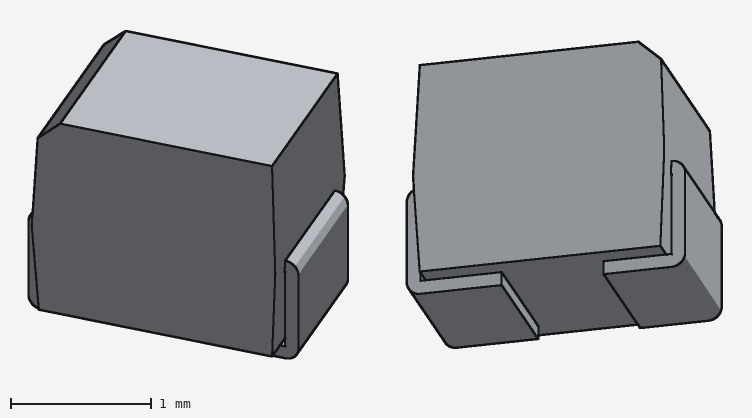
import cadquery as cq

overall_length = 2.05
overall_height = 1.7

lead_thickness = 0.1
lead_width = 1.0
lead_height = 0.82
marked_foot_length = 0.6
plain_foot_length = 0.7

housing_length = overall_length - 2 * lead_thickness
housing_width = 1.4
end_inset = 0.039
side_inset = 0.039
band_height = 0.012
band_bottom = lead_height
band_top = band_bottom + band_height
housing_bottom = lead_thickness
chamfer_run = 0.162
chamfer_drop = 0.15


def tapered_half(start_z, end_z):
    """Frustum from the full housing outline to the inset outline."""
    return (
        cq.Workplane("XY")
        .workplane(offset=start_z)
        .rect(housing_length, housing_width)
        .workplane(offset=end_z - start_z)
        .rect(housing_length - 2 * end_inset, housing_width - 2 * side_inset)
        .loft(ruled=True)
    )


def polarity_chamfer():
    """Wedge that cuts the upper edge at the -X end and marks the polarity."""
    top_edge_x = -housing_length / 2 + end_inset
    outer_x = -overall_length / 2
    cut_x = top_edge_x + chamfer_run
    wedge_depth = (cut_x - outer_x) * chamfer_drop / chamfer_run
    return (
        cq.Workplane("XZ")
        .moveTo(cut_x, overall_height)
        .lineTo(outer_x, overall_height)
        .lineTo(outer_x, overall_height - wedge_depth)
        .close()
        .extrude(housing_width / 2, both=True)
    )


def make_housing():
    band = (
        cq.Workplane("XY")
        .workplane(offset=band_bottom)
        .rect(housing_length, housing_width)
        .extrude(band_height)
    )
    lower_half = tapered_half(band_bottom, housing_bottom)
    upper_half = tapered_half(band_top, overall_height)
    return lower_half.union(band).union(upper_half).cut(polarity_chamfer())


def make_lead(side, foot_length):
    """C-shaped lead on the -X (side = -1) or +X (side = 1) end of the housing."""
    outer_x = side * overall_length / 2
    inner_x = side * housing_length / 2
    foot_end_x = outer_x - side * foot_length
    tab_bottom = lead_height - lead_thickness
    tab_taper = end_inset * lead_thickness / (band_bottom - housing_bottom)
    tab_end_x = inner_x - side * tab_taper
    return (
        cq.Workplane("XZ")
        .moveTo(foot_end_x, 0)
        .lineTo(inner_x, 0)
        .radiusArc((outer_x, lead_thickness), side * -lead_thickness)
        .lineTo(outer_x, tab_bottom)
        .radiusArc((inner_x, lead_height), side * -lead_thickness)
        .lineTo(tab_end_x, tab_bottom)
        .lineTo(inner_x, tab_bottom)
        .lineTo(inner_x, lead_thickness)
        .lineTo(foot_end_x, lead_thickness)
        .close()
        .extrude(lead_width / 2, both=True)
    )


housing = make_housing()
lead_layout = [(-1, marked_foot_length), (1, plain_foot_length)]
leads = [make_lead(side, foot_length) for side, foot_length in lead_layout]

result = cq.Compound.makeCompound([housing.val(), *[lead.val() for lead in leads]])